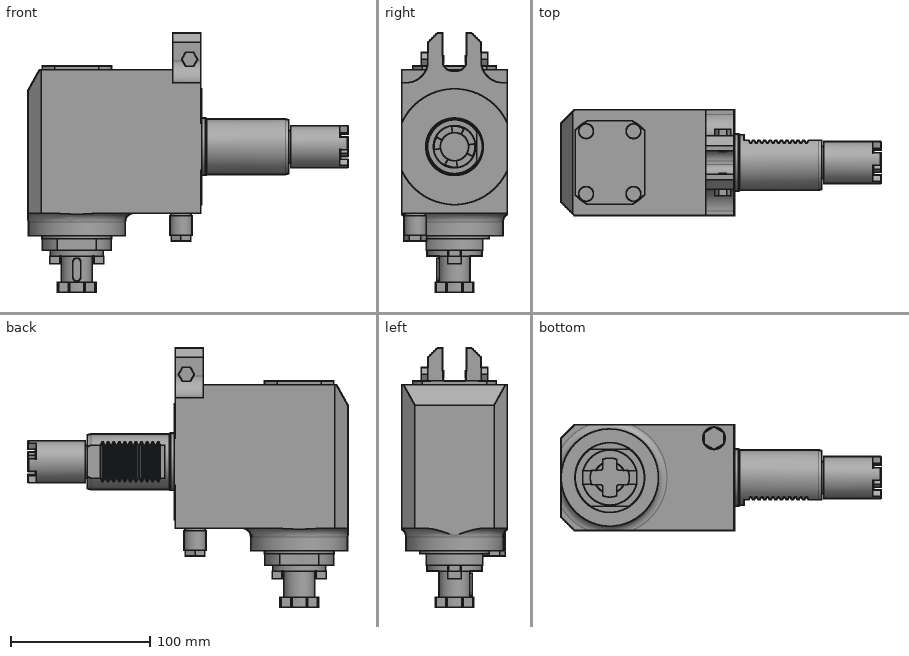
import cadquery as cq
import math


body_length = 124.1
body_width = 76.0
body_top = 55.5
body_bottom = -47.8
half_width = body_width / 2
nose_side_chamfer = 9.7
nose_top_run = 8.3
nose_top_drop = 15.0

lug_length = 20.2
lug_top = 81.8
lug_inner_y = 8.5
lug_outer_y = 19.0
lug_bevel = 7.0
ledge_z = 46.0
outer_fillet = 15.6
inner_fillet = 7.4
bolt_x = -8.0
bolt_z = 62.7
bolt_flats = 9.9
bolt_head_height = 4.8
bolt_tip_radius = 2.5
bolt_tip_length = 1.0

face_disc_radius = 41.5
face_disc_height = 0.7
flange_radius = 20.7
flange_end = 3.2
flange_taper_end = 4.4
shank_radius = 20.0
shank_end = 63.2
shank_chamfer_length = 2.5
shank_chamfer_height = 0.7
rack_flat_y = 16.0
rack_flat_start = 7.4
groove_count = 11
groove_pitch = 4.0
groove_first_x = 12.2
groove_depth = 2.0
groove_top_width = 3.0
groove_floor_width = 0.7

neck_radius = 11.7
tail_start = 64.5
tail_end = 105.7
tail_radius = 15.2
tail_chamfer = 0.5
drive_bore_radius = 10.0
drive_bore_depth = 5.0
drive_slot_depth = 6.0
drive_slot_count = 4
drive_slot_spread = 54
drive_slot_angle = 35

cover_length = 49.9
cover_width = 60.2
cover_height = 2.8
cover_corner_radius = 34.0
screw_dx = 17.0
screw_dy = 22.5
screw_radius = 5.3
screw_recess = 0.2

collar_radius = 35.0
collar_setback = 0.11
spindle_x = -body_length + collar_radius + collar_setback
flare_height = 6.0
collar_bottom = -64.1
nut_rim_radius = 25.0
nut_radius = 24.8
nut_rim_bottom = -66.2
nut_half_flats = 20.5
nut_bottom = -74.5
ring_radius = 19.8
ring_bottom = -78.5
drive_key_width = 9.9
drive_key_stem_width = 8.5
drive_key_inner_reach = 12.2
drive_key_outer_reach = 19.5
drive_key_stem_setback = 0.7
drive_key_bottom = -84.1
arbor_radius = 11.3
arbor_key_width = 5.5
arbor_key_top = -80.0
arbor_key_bottom = -96.5
arbor_key_reach = 12.9
cross_top = -97.2
cross_bottom = -104.5
cross_radius = 14.0
cross_arm_width = 10.3
cross_core_radius = 8.0

pin_x = -14.3
pin_y = -28.3
pin_radius = 8.0
pin_neck_radius = 7.4
pin_neck_bottom = -49.5
pin_bottom = -63.7
pin_hex_flats = 14.3
pin_hex_bottom = -67.8


def x_cylinder(radius, start, end):
    return cq.Workplane("YZ", origin=(start, 0, 0)).circle(radius).extrude(end - start)


def z_cylinder(x, y, radius, top, bottom):
    return cq.Workplane("XY", origin=(x, y, bottom)).circle(radius).extrude(top - bottom)


def box_between(x0, x1, y0, y1, z0, z1):
    return cq.Workplane("XY", origin=(x0, y0, z0)).box(x1 - x0, y1 - y0, z1 - z0, centered=False)


def hex_across_points(flats):
    return flats / math.cos(math.pi / 6)


def body_plan():
    """Plan outline of the body with both nose corners chamfered."""
    nose = -body_length
    return (
        cq.Workplane("XY")
        .moveTo(0, -half_width)
        .lineTo(0, half_width)
        .lineTo(nose + nose_side_chamfer, half_width)
        .lineTo(nose, half_width - nose_side_chamfer)
        .lineTo(nose, -half_width + nose_side_chamfer)
        .lineTo(nose + nose_side_chamfer, -half_width)
        .close()
    )


def make_body():
    body = body_plan().extrude(body_top - body_bottom).translate((0, 0, body_bottom))
    nose_wedge = (
        cq.Workplane("XZ", origin=(0, half_width, 0))
        .moveTo(-body_length, body_top)
        .lineTo(-body_length + nose_top_run, body_top)
        .lineTo(-body_length, body_top - nose_top_drop)
        .close()
        .extrude(body_width)
    )
    rear_space = box_between(-lug_length, 0, -half_width, half_width, ledge_z, body_top)
    return body.cut(nose_wedge).cut(rear_space)


def make_lugs():
    """Two lugs on one saddle, blended into the ledge outside and into each other inside."""
    blend_z = ledge_z + outer_fillet
    saddle_z = blend_z - inner_fillet
    outer_foot_y = lug_outer_y + outer_fillet
    saddle_y = lug_inner_y - inner_fillet
    outer_mid = outer_fillet * (1 - math.sqrt(0.5))
    inner_mid = inner_fillet * (1 - math.sqrt(0.5))
    half_lugs = (
        cq.Workplane("YZ", origin=(-lug_length, 0, 0))
        .moveTo(0, ledge_z)
        .lineTo(outer_foot_y, ledge_z)
        .threePointArc((lug_outer_y + outer_mid, ledge_z + outer_mid), (lug_outer_y, blend_z))
        .lineTo(lug_outer_y, lug_top - lug_bevel)
        .lineTo(lug_outer_y - lug_bevel, lug_top)
        .lineTo(lug_inner_y, lug_top)
        .lineTo(lug_inner_y, blend_z)
        .threePointArc((lug_inner_y - inner_mid, saddle_z + inner_mid), (saddle_y, saddle_z))
        .lineTo(0, saddle_z)
        .close()
        .extrude(lug_length)
    )
    return half_lugs.union(half_lugs.mirror("XZ"))


def make_clamp_bolt():
    """Bolt in the -Y lug: hexagon head outside, tip standing out of the inner face."""
    tip_y = -lug_inner_y + bolt_tip_length
    head = (
        cq.Workplane("XZ", origin=(bolt_x, -lug_outer_y, bolt_z))
        .polygon(6, hex_across_points(bolt_flats))
        .extrude(bolt_head_height)
    )
    stem = (
        cq.Workplane("XZ", origin=(bolt_x, tip_y, bolt_z))
        .circle(bolt_tip_radius)
        .extrude(tip_y + lug_outer_y)
    )
    return head.union(stem)


def make_shank():
    side_stock = box_between(0, face_disc_height, -half_width, half_width,
                             -face_disc_radius, face_disc_radius)
    face_disc = x_cylinder(face_disc_radius, 0, face_disc_height).intersect(side_stock)
    barrel = (
        cq.Workplane("XY")
        .moveTo(0, 0)
        .lineTo(0, flange_radius)
        .lineTo(flange_end, flange_radius)
        .lineTo(flange_taper_end, shank_radius)
        .lineTo(shank_end - shank_chamfer_length, shank_radius)
        .lineTo(shank_end, shank_radius - shank_chamfer_height)
        .lineTo(shank_end, 0)
        .close()
        .revolve(360, (0, 0, 0), (1, 0, 0))
    )
    barrel = barrel.cut(box_between(rack_flat_start, shank_end, rack_flat_y, flange_radius,
                                    -flange_radius, flange_radius))
    for i in range(groove_count):
        barrel = barrel.cut(make_rack_groove(groove_first_x + i * groove_pitch))
    return face_disc.union(barrel)


def make_rack_groove(x):
    return (
        cq.Workplane("XY", origin=(x, rack_flat_y, -shank_radius))
        .moveTo(-groove_top_width / 2, 0)
        .lineTo(-groove_floor_width / 2, -groove_depth)
        .lineTo(groove_floor_width / 2, -groove_depth)
        .lineTo(groove_top_width / 2, 0)
        .close()
        .extrude(2 * shank_radius)
    )


def make_drive_slot(mid_angle):
    """Wedge with radial walls, outside the bore; the angle is measured from +Z towards -Y."""
    slot_floor = tail_end - drive_slot_depth
    reach = 2 * tail_radius
    half_spread = math.radians(drive_slot_spread / 2)
    wall_y = reach * math.sin(half_spread)
    wall_z = reach * math.cos(half_spread)
    wedge = (
        cq.Workplane("YZ", origin=(slot_floor, 0, 0))
        .polyline([(0, 0), (wall_y, wall_z), (-wall_y, wall_z)])
        .close()
        .extrude(drive_slot_depth)
    )
    wedge = wedge.cut(x_cylinder(drive_bore_radius, slot_floor, tail_end))
    return wedge.rotate((0, 0, 0), (1, 0, 0), mid_angle)


def make_tail():
    """Drive tail with an open cup at its end, slotted into four posts."""
    tail = x_cylinder(tail_radius, tail_start, tail_end).faces(">X").chamfer(tail_chamfer)
    tail = tail.cut(x_cylinder(drive_bore_radius, tail_end - drive_bore_depth, tail_end))
    for i in range(drive_slot_count):
        tail = tail.cut(make_drive_slot(drive_slot_angle + i * 360 / drive_slot_count))
    return tail.union(x_cylinder(neck_radius, shank_end, tail_start))


def make_cover():
    """Cover plate whose corners are rounded about the spindle axis, with four shallow round screw seats."""
    cover_top = body_top + cover_height
    cover = z_cylinder(spindle_x, 0, cover_corner_radius, cover_top, body_top).intersect(
        box_between(spindle_x - cover_length / 2, spindle_x + cover_length / 2,
                    -cover_width / 2, cover_width / 2, body_top, cover_top))
    for dx in (-screw_dx, screw_dx):
        for y in (-screw_dy, screw_dy):
            cover = cover.cut(z_cylinder(spindle_x + dx, y, screw_radius,
                                         cover_top, cover_top - screw_recess))
    return cover


def make_collar():
    """Round collar flaring into the body underside, kept inside the body outline."""
    flare_bottom = body_bottom - flare_height
    flare_mid = flare_height * (1 - math.sqrt(0.5))
    collar = (
        cq.Workplane("XZ", origin=(spindle_x, 0, 0))
        .moveTo(0, body_bottom)
        .lineTo(collar_radius + flare_height, body_bottom)
        .threePointArc((collar_radius + flare_mid, body_bottom - flare_mid),
                       (collar_radius, flare_bottom))
        .lineTo(collar_radius, collar_bottom)
        .lineTo(0, collar_bottom)
        .close()
        .revolve(360, (0, 0, 0), (0, 1, 0))
    )
    outline = body_plan().extrude(body_bottom - collar_bottom).translate((0, 0, collar_bottom))
    return collar.intersect(outline)


def make_nut():
    rim = z_cylinder(spindle_x, 0, nut_rim_radius, collar_bottom, nut_rim_bottom)
    flats = box_between(spindle_x - nut_radius, spindle_x + nut_radius,
                        -nut_half_flats, nut_half_flats, nut_bottom, nut_rim_bottom)
    lower = z_cylinder(spindle_x, 0, nut_radius, nut_rim_bottom, nut_bottom).intersect(flats)
    return rim.union(lower)


def side_block(side, inner_reach, outer_reach, width, bottom, top):
    """Block centred on Y = 0, spanning two distances from the spindle axis along X."""
    inner_x, outer_x = sorted((spindle_x + side * inner_reach, spindle_x + side * outer_reach))
    return box_between(inner_x, outer_x, -width / 2, width / 2, bottom, top)


def make_drive_key(side):
    """T-shaped drive key: a narrow stem standing in a ring slot, a wider head below the ring."""
    stem = side_block(side, drive_key_inner_reach, drive_key_outer_reach - drive_key_stem_setback,
                      drive_key_stem_width, ring_bottom, nut_bottom)
    head = side_block(side, drive_key_inner_reach, drive_key_outer_reach,
                      drive_key_width, drive_key_bottom, ring_bottom)
    return stem.union(head)


def make_ring():
    """Driving ring with a slot and a key on each side along X."""
    ring = z_cylinder(spindle_x, 0, ring_radius, nut_bottom, ring_bottom)
    for side in (-1, 1):
        slot = side_block(side, drive_key_inner_reach, 2 * ring_radius,
                          drive_key_width, ring_bottom, nut_bottom)
        ring = ring.cut(slot).union(make_drive_key(side))
    return ring


def make_arbor():
    shaft = z_cylinder(spindle_x, 0, arbor_radius, ring_bottom, cross_top)
    key_mid_z = (arbor_key_top + arbor_key_bottom) / 2
    arbor_key = (
        cq.Workplane("XZ", origin=(spindle_x, 0, key_mid_z))
        .slot2D(arbor_key_top - arbor_key_bottom, arbor_key_width, 90)
        .extrude(arbor_key_reach)
    )
    return shaft.union(arbor_key).union(make_cross())


def make_cross():
    """Four-armed driver at the free end of the arbor."""
    half_arm = cross_arm_width / 2
    arms_x = box_between(spindle_x - cross_radius, spindle_x + cross_radius,
                         -half_arm, half_arm, cross_bottom, cross_top)
    arms_y = box_between(spindle_x - half_arm, spindle_x + half_arm,
                         -cross_radius, cross_radius, cross_bottom, cross_top)
    disc = z_cylinder(spindle_x, 0, cross_radius, cross_top, cross_bottom)
    core = z_cylinder(spindle_x, 0, cross_core_radius, cross_top, cross_bottom)
    return disc.intersect(arms_x.union(arms_y)).union(core)


def make_pin():
    neck = z_cylinder(pin_x, pin_y, pin_neck_radius, body_bottom, pin_neck_bottom)
    barrel = z_cylinder(pin_x, pin_y, pin_radius, pin_neck_bottom, pin_bottom)
    hex_tip = (
        cq.Workplane("XY", origin=(pin_x, pin_y, pin_hex_bottom))
        .transformed(rotate=(0, 0, 90))
        .polygon(6, hex_across_points(pin_hex_flats))
        .extrude(pin_bottom - pin_hex_bottom)
    )
    return neck.union(barrel).union(hex_tip)


clamp_bolt = make_clamp_bolt()

result = (
    make_body()
    .union(make_lugs())
    .union(clamp_bolt)
    .union(clamp_bolt.mirror("XZ"))
    .union(make_shank())
    .union(make_tail())
    .union(make_cover())
    .union(make_collar())
    .union(make_nut())
    .union(make_ring())
    .union(make_arbor())
    .union(make_pin())
)